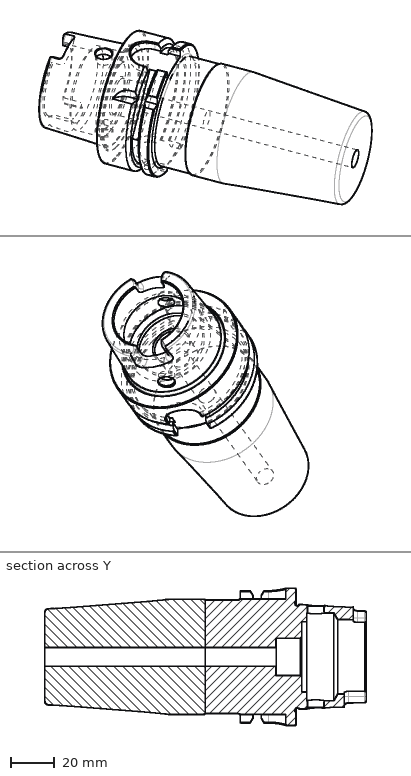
import cadquery as cq
import math


total_length = 147.0
joint_x = 73.7

shank_mouth_radius = 22.6
shank_base_radius = 24.0
shank_length = 29.7
shank_edge_radius = 0.9
neck_start_x = 30.6
neck_radius = 23.4
neck_cone_length = 0.7
neck_fillet = 1.0

flange_radius = 31.5
flange_start_x = 32.0
flange_end_x = 57.6
flange_chamfer = 0.5
face_recess_radius = 25.5
face_recess_depth = 0.5

groove_radius = 27.4
groove_start_x = 48.1
groove_end_x = 51.8
groove_flare = 1.5
groove_side_depth = 2.4

body_radius = 26.0
body_fillet = 1.0

sleeve_radius = 26.5
sleeve_chamfer = 0.5
sleeve_taper_x = 89.4
sleeve_tip_radius = 21.9
sleeve_tip_fillet = 1.8

bore_diameter = 34.0
bore_radius = bore_diameter / 2
bore_mouth_chamfer = 0.6
undercut_radius = 20.0
undercut_start_x = 13.1
undercut_angle = 60.0
undercut_end_x = 27.2
seat_radius = 16.0
bore_depth = 29.4
thread_diameter = 16.9
thread_radius = thread_diameter / 2
thread_chamfer = 0.7
thread_depth = 11.8
through_diameter = 8.4
through_radius = through_diameter / 2

cross_hole_diameter = 7.5
cross_hole_rim_diameter = 8.5
cross_hole_x = 23.1

slot_half_width = 6.3
slot_flare_radius = 3.2
slot_flare_z = 18.0
slot_corner_radius = 1.8
upper_slot_depth = 5.9
lower_slot_depth = 10.0

keyway_width = 16.0
keyway_radius = keyway_width / 2
keyway_floor = 26.5
keyway_end_x = 36.9
keyway_chamfer = 0.6

notch_offset = 20.1
notch_end_radius = 8.2
notch_tangent_x = 44.3

flat_upper = (-5.6, 26.5)
flat_lower = (-27.4, 1.9)

clearance = 7.4


def turned(points):
    """Solid of revolution about X from (x, radius) points."""
    return cq.Workplane("XY").polyline(points).close().revolve(360, (0, 0, 0), (1, 0, 0))


def holder_blank():
    """Outer turned shape of the holder, without bores, groove or milled features."""
    recess_x = flange_start_x + face_recess_depth
    profile = (
        cq.Workplane("XY")
        .moveTo(0, 0)
        .lineTo(0, shank_mouth_radius)
        .lineTo(shank_length, shank_base_radius)
        .lineTo(neck_start_x, shank_base_radius)
        .lineTo(neck_start_x + neck_cone_length, neck_radius)
        .lineTo(recess_x - neck_fillet, neck_radius)
        .radiusArc((recess_x, neck_radius + neck_fillet), -neck_fillet)
        .lineTo(recess_x, face_recess_radius - face_recess_depth)
        .lineTo(flange_start_x, face_recess_radius)
        .lineTo(flange_start_x, flange_radius - flange_chamfer)
        .lineTo(flange_start_x + flange_chamfer, flange_radius)
        .lineTo(flange_end_x - flange_chamfer, flange_radius)
        .lineTo(flange_end_x, flange_radius - flange_chamfer)
        .lineTo(flange_end_x, body_radius + body_fillet)
        .radiusArc((flange_end_x + body_fillet, body_radius), -body_fillet)
        .lineTo(joint_x, body_radius)
        .lineTo(joint_x, 0)
        .close()
    )
    return profile.revolve(360, (0, 0, 0), (1, 0, 0))


def gripper_groove():
    """Ring-shaped cutter for the groove around the flange."""
    groove_side_radius = flange_radius - groove_side_depth
    return turned([
        (groove_start_x, groove_radius),
        (groove_start_x, groove_side_radius),
        (groove_start_x - groove_flare, flange_radius),
        (groove_start_x - groove_flare, flange_radius + clearance),
        (groove_end_x + groove_flare, flange_radius + clearance),
        (groove_end_x + groove_flare, flange_radius),
        (groove_end_x, groove_side_radius),
        (groove_end_x, groove_radius),
    ])


def drive_slot(depth, side):
    """Cutter for a drive slot; side is 1 for the top and -1 for the bottom."""
    flare_y = slot_half_width + slot_flare_radius
    flare_top = slot_flare_z + slot_flare_radius
    top = flare_top + clearance
    cutter = (
        cq.Workplane("YZ")
        .moveTo(-slot_half_width, 0)
        .lineTo(-slot_half_width, slot_flare_z)
        .radiusArc((-flare_y, flare_top), -slot_flare_radius)
        .lineTo(-flare_y, top)
        .lineTo(flare_y, top)
        .lineTo(flare_y, flare_top)
        .radiusArc((slot_half_width, slot_flare_z), -slot_flare_radius)
        .lineTo(slot_half_width, 0)
        .close()
        .extrude(depth)
    )
    wall_box = cq.selectors.BoxSelector(
        (depth - 1.5, -flare_y - 1.5, 1.5),
        (depth + 1.5, flare_y + 1.5, flare_top),
    )
    cutter = cutter.faces(">X").edges(wall_box).fillet(slot_corner_radius)
    if side < 0:
        cutter = cutter.mirror("XY")
    return cutter


def axial_bore():
    """Cutter for the stepped bore on the axis."""
    thread_mouth = thread_radius + thread_chamfer
    thread_end = bore_depth + thread_depth
    shoulder_length = (undercut_radius - bore_radius) / math.tan(math.radians(undercut_angle))
    return turned([
        (0, 0),
        (0, bore_radius + bore_mouth_chamfer),
        (bore_mouth_chamfer, bore_radius),
        (undercut_start_x, bore_radius),
        (undercut_start_x + shoulder_length, undercut_radius),
        (undercut_end_x, undercut_radius),
        (undercut_end_x, seat_radius),
        (bore_depth, seat_radius),
        (bore_depth, thread_mouth),
        (bore_depth + thread_chamfer, thread_radius),
        (thread_end, thread_radius),
        (thread_end, through_radius),
        (joint_x, through_radius),
        (joint_x, 0),
    ])


def cross_hole():
    """Cutter for the chamfered hole through both walls of the shank."""
    hole_radius = cross_hole_diameter / 2
    rim_radius = cross_hole_rim_diameter / 2
    rim_z = shank_mouth_radius + (shank_base_radius - shank_mouth_radius) * cross_hole_x / shank_length
    chamfer_z = rim_z - (rim_radius - hole_radius)
    return (
        cq.Workplane("XZ")
        .polyline([
            (0, flange_radius),
            (rim_radius, flange_radius),
            (rim_radius, rim_z),
            (hole_radius, chamfer_z),
            (hole_radius, -chamfer_z),
            (rim_radius, -rim_z),
            (rim_radius, -flange_radius),
            (0, -flange_radius),
        ])
        .close()
        .revolve(360, (0, 0, 0), (0, -1, 0))
        .translate((cross_hole_x, 0, 0))
    )


def keyway(side):
    """Cutter for a round-ended flange keyway; side is 1 for the top and -1 for the bottom."""
    center_x = keyway_end_x + keyway_radius
    cutter = (
        cq.Workplane("XY", origin=(0, 0, keyway_floor))
        .moveTo(flange_end_x, -keyway_radius)
        .lineTo(center_x, -keyway_radius)
        .threePointArc((keyway_end_x, 0), (center_x, keyway_radius))
        .lineTo(flange_end_x, keyway_radius)
        .close()
        .extrude(clearance)
    )
    if side < 0:
        cutter = cutter.mirror("XY")
    return cutter


def corner_notch():
    """Cutter for the notch with one level and one upright face."""
    outer_y = -notch_offset - notch_end_radius
    return (
        cq.Workplane("XY", origin=(0, 0, notch_offset))
        .moveTo(flange_end_x, -notch_offset)
        .lineTo(notch_tangent_x, -notch_offset)
        .radiusArc((notch_tangent_x - notch_end_radius, outer_y), -notch_end_radius)
        .lineTo(flange_end_x, outer_y)
        .close()
        .extrude(flange_radius)
    )


def groove_flat():
    """Cutter for the flat on the groove floor."""
    return (
        cq.Workplane("YZ", origin=(groove_start_x, 0, 0))
        .polyline([
            flat_upper,
            flat_lower,
            (-flange_radius, flat_lower[1]),
            (-flange_radius, flange_radius),
            (flat_upper[0], flange_radius),
        ])
        .close()
        .extrude(groove_end_x - groove_start_x)
    )


def cut_drive_slots(shank):
    """Cut both drive slots and round the mouth rim and slot edges, leaving the bore edge sharp."""
    for depth, side in ((upper_slot_depth, 1), (lower_slot_depth, -1)):
        shank = shank.cut(drive_slot(depth, side))
    outer_edges = [
        edge for edge in shank.faces("<X").edges().vals()
        if edge.geomType() == "LINE" or abs(edge.radius() - bore_radius) > shank_edge_radius
    ]
    return shank.newObject(outer_edges).fillet(shank_edge_radius)


def cut_keyways(flange):
    """Cut both keyways and chamfer their edges on the flange rim."""
    rim_start_x = keyway_end_x - keyway_chamfer
    rim_end_x = flange_end_x - flange_chamfer
    half_width = keyway_radius + keyway_chamfer
    for side in (1, -1):
        flange = flange.cut(keyway(side))
        rim_box = cq.selectors.BoxSelector(
            (rim_start_x, -half_width, side * (keyway_floor + 1.5)),
            (rim_end_x, half_width, side * (flange_radius + 1.5)),
        )
        rim = [edge for edge in flange.edges(rim_box).vals() if edge.Length() > keyway_radius]
        flange = flange.newObject(rim).chamfer(keyway_chamfer)
    return flange


def make_holder():
    """Holder with its shank, flange and bores."""
    holder = holder_blank().faces("<X").workplane().circle(bore_radius).cutBlind(-undercut_start_x)
    holder = cut_drive_slots(holder)
    holder = holder.cut(axial_bore()).cut(cross_hole())
    holder = cut_keyways(holder).cut(gripper_groove())
    return holder.cut(corner_notch()).cut(groove_flat())


def make_sleeve():
    """Front sleeve with its tapered nose."""
    sleeve = turned([
        (joint_x, through_radius),
        (joint_x, sleeve_radius - sleeve_chamfer),
        (joint_x + sleeve_chamfer, sleeve_radius),
        (sleeve_taper_x, sleeve_radius),
        (total_length, sleeve_tip_radius),
        (total_length, through_radius),
    ])
    rim = sleeve.faces(">X").edges(cq.selectors.RadiusNthSelector(-1))
    return rim.fillet(sleeve_tip_fillet)


holder = make_holder()
sleeve = make_sleeve()
result = cq.Compound.makeCompound([holder.val(), sleeve.val()])